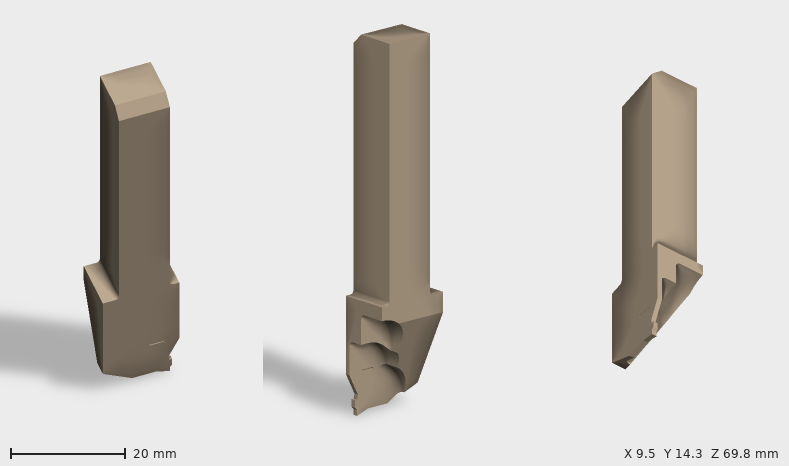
import cadquery as cq
import math


TOTAL_HEIGHT = 69.85
SHANK_SIZE = 9.5
SHANK_HALF = SHANK_SIZE / 2
HEAD_BACK = 6.5
HEAD_FRONT = -7.75
SHOULDER_Z = 22.1
SHOULDER_FILLET = 0.7
TOP_CHAMFER = 2.0

BOTTOM_Z = 0.85
FRONT_SLANT_TOP = 4.0
FRONT_SLANT_ANGLE = 30.0
BACK_SLANT_TOP = 7.75
BACK_SLANT_ANGLE = 63.0

SLOPE_TOP = 18.4
SLOPE_ANGLE = 25.0

POCKET_RADIUS = 6.0
LOWER_POCKET_RADIUS = 7.95
POCKET_FILLET = 1.0
UPPER_POCKET_CENTER = (6.15, 13.55)
MIDDLE_POCKET_CENTER = (SHANK_HALF, 7.95)
LOWER_POCKET_CENTER = (2.65, 1.55)
UPPER_FLOOR_X = 5.6
WEB_FLOOR_X = 8.6

TIP_Y = SHANK_HALF
NOSE_Y = 5.2
SEAT_CLEARANCE = 0.2
INSERT_TOP_Z = 7.95
NOSE_LINE_START = (NOSE_Y, 2.0)
NOSE_RISE_ANGLE = 5.0

MARGIN = 3.5


def outline_in_yz(points):
    return cq.Workplane("YZ").polyline(points).close()


def holder_blank():
    front_run = (FRONT_SLANT_TOP - BOTTOM_Z) / math.tan(math.radians(FRONT_SLANT_ANGLE))
    back_run = (BACK_SLANT_TOP - BOTTOM_Z) / math.tan(math.radians(BACK_SLANT_ANGLE))
    outline = outline_in_yz([
        (-SHANK_HALF, TOTAL_HEIGHT),
        (-SHANK_HALF, SHOULDER_Z),
        (HEAD_FRONT, SHOULDER_Z),
        (HEAD_FRONT, FRONT_SLANT_TOP),
        (HEAD_FRONT + front_run, BOTTOM_Z),
        (HEAD_BACK - back_run, BOTTOM_Z),
        (HEAD_BACK, BACK_SLANT_TOP),
        (HEAD_BACK, SHOULDER_Z),
        (SHANK_HALF, SHOULDER_Z),
        (SHANK_HALF, TOTAL_HEIGHT),
    ])
    blank = outline.extrude(SHANK_SIZE)
    blank = blank.faces(">Z").edges(">X").chamfer(TOP_CHAMFER)
    inner_corners = cq.selectors.BoxSelector(
        (0, -SHANK_HALF - SHOULDER_FILLET, SHOULDER_Z - SHOULDER_FILLET),
        (SHANK_SIZE, SHANK_HALF + SHOULDER_FILLET, SHOULDER_Z + SHOULDER_FILLET),
    )
    return blank.edges("|X").edges(inner_corners).fillet(SHOULDER_FILLET)


def slope_cut():
    """Wedge that thins the head toward its lower end."""
    run = SLOPE_TOP * math.tan(math.radians(SLOPE_ANGLE))
    return (
        cq.Workplane("XZ")
        .polyline([(0, SLOPE_TOP), (run, 0), (0, 0)])
        .close()
        .extrude(TOTAL_HEIGHT, both=True)
    )


def pocket_cut(center, radius, floor_x):
    """Quarter-round pocket, open toward +Y and downward, with a filleted floor edge."""
    y, z = center
    diagonal = radius * math.sqrt(0.5)
    pocket = (
        cq.Workplane("YZ", origin=(-MARGIN, 0, 0))
        .moveTo(y, z + radius)
        .threePointArc((y - diagonal, z + diagonal), (y - radius, z))
        .lineTo(y - radius, -MARGIN)
        .lineTo(HEAD_BACK + MARGIN, -MARGIN)
        .lineTo(HEAD_BACK + MARGIN, z + radius)
        .close()
        .extrude(MARGIN + floor_x)
    )
    return pocket.faces(">X").edges().fillet(POCKET_FILLET)


def insert_outline(top_z):
    return outline_in_yz([
        (TIP_Y, 0),
        (TIP_Y, 1.1),
        (NOSE_Y, 1.55),
        (NOSE_Y, 2.9),
        (4.6, 2.9),
        (4.1, 7.25),
        (3.6, top_z),
        (1.0, top_z),
        (0.8, 7.0),
        (1.1, 1.5),
        (1.4, 1.05),
    ])


def insert_prism(start_x, end_x, top_z):
    return insert_outline(top_z).extrude(end_x - start_x).translate((start_x, 0, 0))


def build_holder():
    holder = holder_blank().cut(slope_cut())
    holder = holder.cut(pocket_cut(UPPER_POCKET_CENTER, POCKET_RADIUS, UPPER_FLOOR_X))
    holder = holder.cut(pocket_cut(MIDDLE_POCKET_CENTER, POCKET_RADIUS, WEB_FLOOR_X))
    holder = holder.cut(pocket_cut(LOWER_POCKET_CENTER, LOWER_POCKET_RADIUS, WEB_FLOOR_X))
    return holder.cut(insert_prism(0, SHANK_SIZE, INSERT_TOP_Z + SEAT_CLEARANCE))


def nose_wedge():
    """Wedge rising from the nose line toward the tip."""
    nose_plane = cq.Plane(
        origin=(WEB_FLOOR_X, *NOSE_LINE_START),
        xDir=(0, 1, -1),
        normal=(0, -1, -1),
    )
    rise = MARGIN * math.tan(math.radians(NOSE_RISE_ANGLE))
    return (
        cq.Workplane(nose_plane)
        .polyline([(0, 0), (MARGIN, 0), (MARGIN, -rise)])
        .close()
        .extrude(2 * MARGIN, both=True)
    )


def build_insert():
    plate = insert_prism(WEB_FLOOR_X, SHANK_SIZE, INSERT_TOP_Z)
    nose = insert_prism(0, WEB_FLOOR_X, INSERT_TOP_Z).intersect(nose_wedge())
    return plate.union(nose)


holder = build_holder()
insert = build_insert()
result = cq.Compound.makeCompound([holder.solids().val(), insert.solids().val()])